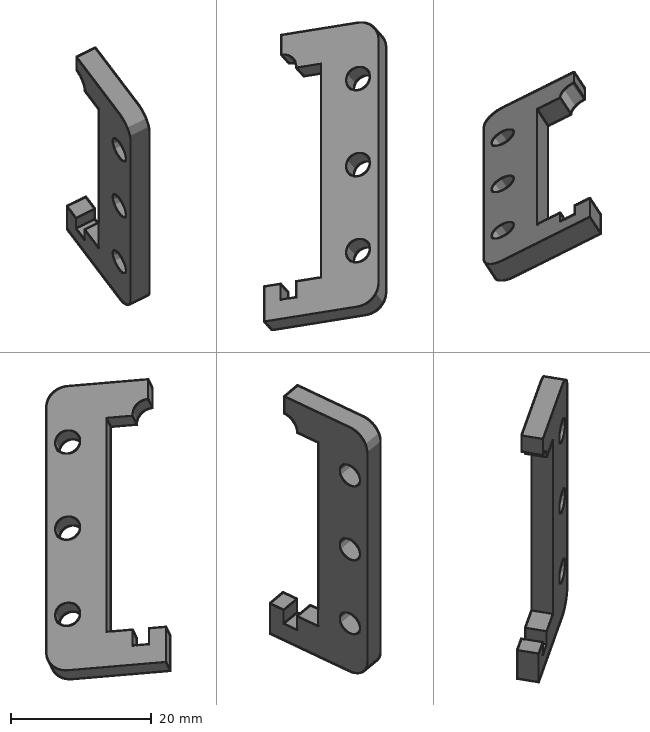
import cadquery as cq

height = 44.45
width = 17.4
thickness = 3.15
corner_radius = 3.1

spine_left = 8.62
arm_height = 5.5
upper_arm_left = 2.6
upper_tip_height = 3.1
notch_right = 4.85

slot_left = 2.5
slot_right = notch_right
slot_depth = 2.5

hole_diameter = 3.6
hole_spacing = 13.45
hole_x = width - corner_radius

upper_arm_bottom = height - arm_height
notch_top = height - upper_tip_height
notch_width = notch_right - upper_arm_left
notch_height = notch_top - upper_arm_bottom
notch_radius = (notch_width**2 + notch_height**2) / (2 * notch_height)


def make_plate():
    """Extrude the C-shaped outline, front face at Y = 0."""
    outline = (
        cq.Workplane("XZ")
        .lineTo(width, 0)
        .lineTo(width, height)
        .lineTo(upper_arm_left, height)
        .lineTo(upper_arm_left, notch_top)
        .radiusArc((notch_right, upper_arm_bottom), notch_radius)
        .lineTo(spine_left, upper_arm_bottom)
        .lineTo(spine_left, arm_height)
        .lineTo(slot_right, arm_height)
        .lineTo(slot_right, arm_height - slot_depth)
        .lineTo(slot_left, arm_height - slot_depth)
        .lineTo(slot_left, arm_height)
        .lineTo(0, arm_height)
        .close()
    )
    plate = outline.extrude(-thickness)
    return plate.edges("|Y and >X").fillet(corner_radius)


def make_holes():
    """Cylinders for the holes, spaced evenly about mid height."""
    centers = [(hole_x, height / 2 + i * hole_spacing) for i in (-1, 0, 1)]
    return cq.Workplane("XZ").pushPoints(centers).circle(hole_diameter / 2).extrude(-thickness)


result = make_plate().cut(make_holes())